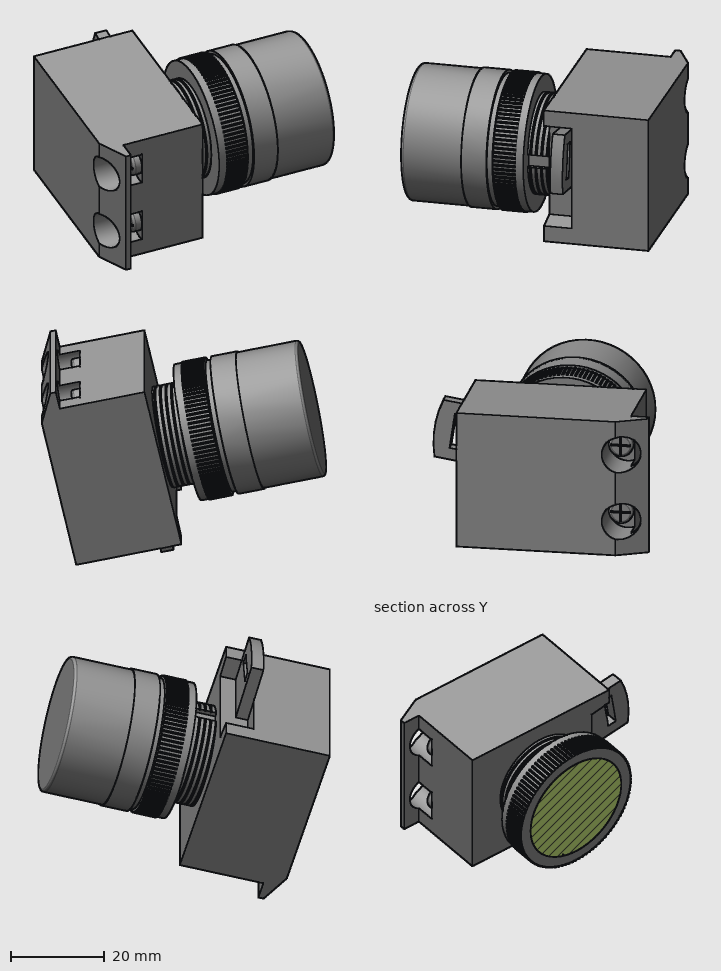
import cadquery as cq
import math


BLOCK_WIDTH = 37.0
BLOCK_DEPTH = 23.0
BLOCK_HEIGHT = 29.95
BLOCK_LEFT = -BLOCK_WIDTH / 2
BLOCK_RIGHT = BLOCK_WIDTH / 2

LIP_REACH = 4.0
LIP_BACK = 4.5
LIP_EDGE = 1.15
SLOPE_RUN = 6.6

RECESS_FRONT = 16.85
RECESS_DEPTH = 4.7
RECESS_MOUTH = 22.85
RECESS_TAPER = 0.9

WELL_RADIUS = 4.0
WELL_FROM_RIGHT = 1.55
WELL_FLOOR = 8.9
SCREW_SPACING = 15.0
SCREW_RADIUS = 2.6
SCREW_FROM_RIGHT = 2.7
SCREW_HEIGHT = 2.0
SCREW_ROUNDING = 0.55
CROSS_LENGTH = 4.1
CROSS_WIDTH = 0.35
CROSS_DEPTH = 0.55

LEVER_TILT = 8.5
LEVER_LENGTH = 13.0
LEVER_THICKNESS = 2.65
LEVER_NOSE_BULGE = 0.95
LEVER_END = 3.95
LEVER_SLOT_LENGTH = 7.8
LEVER_SLOT_WIDTH = 2.05
SLOT_FROM_BLOCK = 2.95
SLOT_CENTRE_Z = 5.15

SHANK_RADIUS = 11.0
SHANK_EMBED = 3.35
THREAD_PITCH = 1.2
THREAD_WIDTH = 0.4
THREAD_DEPTH = 0.2
KEYWAY_WIDTH = 2.9
KEYWAY_DEPTH = 1.1

NUT_FRONT = 28.45
NUT_RADIUS = 14.8
KNURL_FRONT = 30.25
NUT_BACK = 35.15
RIDGE_COUNT = 100
RIDGE_HEIGHT = 0.195
RIDGE_WIDTH = 0.305

NECK_RADIUS = 12.3
FLANGE_RADIUS = 14.3
FLANGE_FRONT = 35.4
BEZEL_RADIUS = 15.0
BEZEL_FRONT = 36.6
CAP_RADIUS = 14.75
CAP_FRONT = 42.1
CAP_BACK = 55.5
CAP_ROUNDING = 0.55


def plane_at(y):
    """Plane square to the button axis: local x is X, local y is -Z, normal is +Y."""
    return cq.Workplane("XZ", origin=(0, y, 0)).transformed(rotate=(180, 0, 0))


def disc(radius, front, back, x=0, z=0):
    return plane_at(front).center(x, -z).circle(radius).extrude(back - front)


def make_block():
    lip_tip = BLOCK_RIGHT + LIP_REACH
    outline = [
        (BLOCK_LEFT, 0),
        (lip_tip - SLOPE_RUN, 0),
        (lip_tip, LIP_BACK - LIP_EDGE),
        (lip_tip, LIP_BACK),
        (BLOCK_RIGHT, LIP_BACK),
        (BLOCK_RIGHT, BLOCK_DEPTH),
        (BLOCK_LEFT, BLOCK_DEPTH),
    ]
    block = cq.Workplane("XY").polyline(outline).close().extrude(BLOCK_HEIGHT / 2, both=True)

    mouth = RECESS_MOUTH / 2
    wall = mouth - RECESS_TAPER
    wall_x = BLOCK_LEFT + RECESS_DEPTH
    recess = (
        plane_at(RECESS_FRONT)
        .polyline([(BLOCK_LEFT, -mouth), (wall_x, -wall), (wall_x, wall), (BLOCK_LEFT, mouth)])
        .close()
        .extrude(BLOCK_DEPTH - RECESS_FRONT)
    )
    return block.cut(recess)


def make_screw(z):
    """Round-edged screw head with a cross slot, standing on the floor of its well."""
    x = BLOCK_RIGHT - SCREW_FROM_RIGHT
    top = WELL_FLOOR - SCREW_HEIGHT
    head = disc(SCREW_RADIUS, top, WELL_FLOOR, x, z).faces("<Y").edges().fillet(SCREW_ROUNDING)
    for length, width in ((CROSS_LENGTH, CROSS_WIDTH), (CROSS_WIDTH, CROSS_LENGTH)):
        head = head.cut(plane_at(top).center(x, -z).rect(length, width).extrude(CROSS_DEPTH))
    return head


def add_screws(block):
    well_x = BLOCK_RIGHT - WELL_FROM_RIGHT
    for z in (-SCREW_SPACING / 2, SCREW_SPACING / 2):
        block = block.cut(disc(WELL_RADIUS, 0, WELL_FLOOR, well_x, z))
        block = block.union(make_screw(z))
    return block


def make_lever():
    """Lever drawn square about its slot, tilted, and run into the wall of the recess."""
    half = LEVER_LENGTH / 2
    root = SLOT_FROM_BLOCK + RECESS_DEPTH
    tilt = math.radians(LEVER_TILT)
    root_end = (root + half * math.sin(tilt)) / math.cos(tilt)
    return (
        plane_at(RECESS_FRONT)
        .center(BLOCK_LEFT - SLOT_FROM_BLOCK, -SLOT_CENTRE_Z)
        .transformed(rotate=(0, 0, LEVER_TILT))
        .rect(LEVER_SLOT_WIDTH, LEVER_SLOT_LENGTH)
        .moveTo(root_end, -half)
        .lineTo(-LEVER_END, -half)
        .threePointArc((-LEVER_END - LEVER_NOSE_BULGE, 0), (-LEVER_END, half))
        .lineTo(root_end, half)
        .close()
        .extrude(LEVER_THICKNESS)
    )


def make_shank():
    """Shank with a left-handed V thread and a keyway on its left side."""
    shank = disc(SHANK_RADIUS, BLOCK_DEPTH - SHANK_EMBED, NUT_FRONT + SHANK_EMBED)

    groove_length = NUT_FRONT - BLOCK_DEPTH + THREAD_PITCH
    path = cq.Wire.makeHelix(THREAD_PITCH, groove_length, SHANK_RADIUS, lefthand=True)
    inner = SHANK_RADIUS - THREAD_DEPTH
    outer = SHANK_RADIUS + THREAD_DEPTH
    groove = (
        cq.Workplane("XZ")
        .polyline([(inner, 0), (outer, -THREAD_WIDTH), (outer, THREAD_WIDTH)])
        .close()
        .sweep(cq.Workplane(path), isFrenet=True)
        .rotate((0, 0, 0), (1, 0, 0), -90)
        .translate((0, BLOCK_DEPTH - THREAD_PITCH / 2, 0))
    )
    keyway = (
        plane_at(BLOCK_DEPTH)
        .center(-SHANK_RADIUS, 0)
        .rect(2 * KEYWAY_DEPTH, KEYWAY_WIDTH)
        .extrude(NUT_FRONT - BLOCK_DEPTH)
    )
    return shank.cut(groove).cut(keyway)


def polar(radius, angle):
    return (radius * math.cos(angle), radius * math.sin(angle))


def make_nut():
    """Plain collar followed by a band of narrow raised ridges."""
    tip = NUT_RADIUS + RIDGE_HEIGHT
    pitch = 2 * math.pi / RIDGE_COUNT
    half_ridge = RIDGE_WIDTH / 2 / NUT_RADIUS
    outline = plane_at(KNURL_FRONT).moveTo(*polar(NUT_RADIUS, -half_ridge))
    for ridge in range(RIDGE_COUNT):
        middle = ridge * pitch
        outline = (
            outline
            .lineTo(*polar(tip, middle - half_ridge))
            .lineTo(*polar(tip, middle + half_ridge))
            .lineTo(*polar(NUT_RADIUS, middle + half_ridge))
            .threePointArc(
                polar(NUT_RADIUS, middle + pitch / 2),
                polar(NUT_RADIUS, middle + pitch - half_ridge),
            )
        )
    knurl = outline.close().extrude(NUT_BACK - KNURL_FRONT)
    return disc(NUT_RADIUS, NUT_FRONT, KNURL_FRONT).union(knurl)


def make_head():
    cap = disc(CAP_RADIUS, CAP_FRONT, CAP_BACK).faces(">Y").edges().fillet(CAP_ROUNDING)
    return (
        disc(NECK_RADIUS, NUT_BACK, FLANGE_FRONT)
        .union(disc(FLANGE_RADIUS, FLANGE_FRONT, BEZEL_FRONT))
        .union(disc(BEZEL_RADIUS, BEZEL_FRONT, CAP_FRONT))
        .union(cap)
    )


body = add_screws(make_block()).union(make_lever())
result = body.union(make_shank()).union(make_nut()).union(make_head())